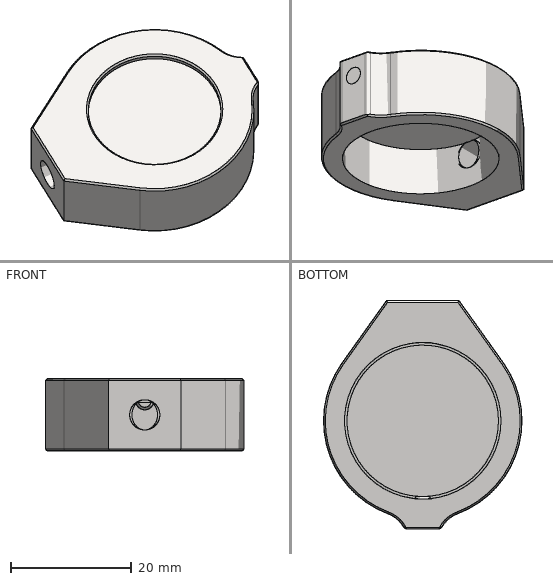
import cadquery as cq
import math


height = 12.0
length = 38.0
disc_radius = 16.5
tab_end_y = 18.0
foot_end_y = tab_end_y - length
foot_width = 12.0
tab_blend_radius = 5.0
tab_blend_angle = math.radians(69.5)
tab_corner_radius = 1.0
edge_chamfer = 0.3

window_radius = 11.02
lip_depth = 1.0
cavity_radius = 13.0

post_hole_radius = 2.5
post_hole_depth = -cavity_radius - foot_end_y
drill_point_angle = math.radians(130)

glass_radius = 12.58
glass_thickness = 3.0
glass_top_z = height / 2 - lip_depth
glass_bottom_z = glass_top_z - glass_thickness

screw_radius = 1.5
screw_z = 2.3
screw_length = tab_end_y - glass_radius
screw_tip_chamfer = 0.4


def housing_blank():
    """Teardrop plate with a blended tab at +Y and a flat foot at -Y."""
    foot_x = foot_width / 2

    foot_distance = math.hypot(foot_x, foot_end_y)
    tangent_angle = math.atan2(foot_end_y, foot_x) + math.acos(disc_radius / foot_distance)
    tangent_x = disc_radius * math.cos(tangent_angle)
    tangent_y = disc_radius * math.sin(tangent_angle)

    blend_x = disc_radius * math.cos(tab_blend_angle)
    blend_y = disc_radius * math.sin(tab_blend_angle)
    blend_center_distance = disc_radius + tab_blend_radius
    center_x = blend_center_distance * math.cos(tab_blend_angle)
    center_y = blend_center_distance * math.sin(tab_blend_angle)
    start_angle = tab_blend_angle + math.pi
    end_angle = math.pi + math.asin((center_y - tab_end_y) / tab_blend_radius)
    middle_angle = (start_angle + end_angle) / 2
    middle_x = center_x + tab_blend_radius * math.cos(middle_angle)
    middle_y = center_y + tab_blend_radius * math.sin(middle_angle)
    tab_x = center_x + tab_blend_radius * math.cos(end_angle)

    blank = (
        cq.Workplane("XY", origin=(0, 0, -height / 2))
        .moveTo(-foot_x, foot_end_y)
        .lineTo(foot_x, foot_end_y)
        .lineTo(tangent_x, tangent_y)
        .threePointArc((disc_radius, 0), (blend_x, blend_y))
        .threePointArc((middle_x, middle_y), (tab_x, tab_end_y))
        .lineTo(-tab_x, tab_end_y)
        .threePointArc((-middle_x, middle_y), (-blend_x, blend_y))
        .threePointArc((-disc_radius, 0), (-tangent_x, tangent_y))
        .close()
        .extrude(height)
    )
    margin = tab_corner_radius / 2
    tab_corners = cq.selectors.BoxSelector(
        (-tab_x - margin, tab_end_y - margin, -height), (tab_x + margin, tab_end_y + margin, height)
    )
    blank = blank.faces("|Z").edges().chamfer(edge_chamfer)
    return blank.edges("|Z").edges(tab_corners).fillet(tab_corner_radius)


def stepped_bore():
    """Cavity open at the bottom, with a chamfered window through the top lip."""
    half_height = height / 2
    return (
        cq.Workplane("XZ")
        .moveTo(0, -half_height)
        .lineTo(cavity_radius, -half_height)
        .lineTo(cavity_radius, glass_top_z)
        .lineTo(window_radius, glass_top_z)
        .lineTo(window_radius, half_height - edge_chamfer)
        .lineTo(window_radius + edge_chamfer, half_height)
        .lineTo(0, half_height)
        .close()
        .revolve(360, (0, 0), (0, 1))
    )


def post_hole():
    """Blind hole from the foot whose drill point breaks into the cavity."""
    shoulder_y = foot_end_y + post_hole_depth
    tip_y = shoulder_y + post_hole_radius / math.tan(drill_point_angle / 2)
    return (
        cq.Workplane("XY")
        .moveTo(0, foot_end_y)
        .lineTo(post_hole_radius, foot_end_y)
        .lineTo(post_hole_radius, shoulder_y)
        .lineTo(0, tip_y)
        .close()
        .revolve(360, (0, 0), (0, 1))
    )


def screw_cylinder():
    """Cylinder from the tab end to the glass edge."""
    return (
        cq.Workplane("XZ", origin=(0, tab_end_y, screw_z))
        .circle(screw_radius)
        .extrude(screw_length)
    )


def make_housing():
    return housing_blank().cut(stepped_bore()).cut(post_hole()).cut(screw_cylinder())


def make_glass():
    return (
        cq.Workplane("XY", origin=(0, 0, glass_bottom_z))
        .circle(glass_radius)
        .extrude(glass_thickness)
    )


def make_set_screw():
    return screw_cylinder().faces("<Y").chamfer(screw_tip_chamfer)


housing = make_housing()
glass = make_glass()
set_screw = make_set_screw()

result = cq.Compound.makeCompound([housing.val(), glass.val(), set_screw.val()])